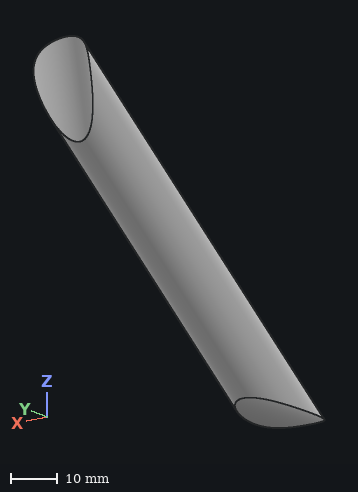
import cadquery as cq
import math

bar_diameter = 15.0
crown_run = 89.1
crown_rise = 66.2
end_allowance = 1.8

lower_saddle_radius = 22.7
upper_saddle_radius = 10.3
upper_saddle_tilt = 12.5
cutter_length = 109.1

crown_length = math.hypot(crown_run, crown_rise)
bar_direction = cq.Vector(0, crown_run, crown_rise).normalized()
bar_normal = cq.Vector(0, -bar_direction.z, bar_direction.y)


def cylinder_along(start, direction, length, radius):
    return cq.Workplane(obj=cq.Solid.makeCylinder(radius, length, start, direction))


def saddle_cutter(crest, direction, outward, radius):
    """Cylinder whose surface touches the crest point, lying on its outward side."""
    start = crest + outward * radius - direction * (cutter_length / 2)
    return cylinder_along(start, direction, cutter_length, radius)


lower_tip = cq.Vector(0, 0, 0)
upper_tip = cq.Vector(0, crown_run, crown_rise)

stock_start = lower_tip - bar_normal * (bar_diameter / 2) - bar_direction * end_allowance
stock_length = crown_length + 2 * end_allowance
bar = cylinder_along(stock_start, bar_direction, stock_length, bar_diameter / 2)

lower_cutter = saddle_cutter(lower_tip, cq.Vector(0, 1, 0), cq.Vector(0, 0, -1), lower_saddle_radius)

tilt = math.radians(upper_saddle_tilt)
upper_direction = cq.Vector(0, math.sin(tilt), math.cos(tilt))
upper_outward = cq.Vector(0, math.cos(tilt), -math.sin(tilt))
upper_cutter = saddle_cutter(upper_tip, upper_direction, upper_outward, upper_saddle_radius)

result = bar.cut(lower_cutter).cut(upper_cutter)